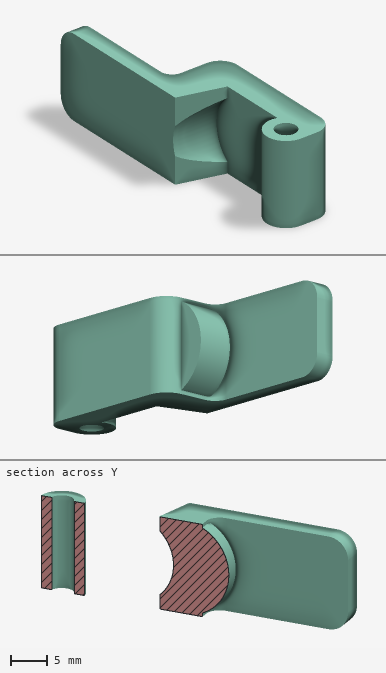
import cadquery as cq

length = 45.25
depth = 12.4
height = 13.8

paddle_thickness = 2.9
arm_thickness = 4.8
step_x = 20.65
slope_front_x = 25.55
slope_rear_x = 27.55
arm_face_y = depth - arm_thickness
corner_radius = 3.0
step_fillet = 2.0

barrel_radius = 3.35
pin_radius = 1.7
barrel_x = length - barrel_radius
barrel_y = 6.6

boss_left_x = 16.6
boss_radius = 7.0
boss_front_y = 4.0
boss_rear_y = depth - corner_radius

relief_left_x = 25.1
relief_radius = 6.45


def disc(left_x, radius, front_y, rear_y):
    """Cylinder along Y, centred at mid height."""
    return (
        cq.Workplane("XZ", origin=(left_x + radius, front_y, height / 2))
        .circle(radius)
        .extrude(front_y - rear_y)
    )


def lever():
    """Stepped plate with its rear corners and paddle end rounded."""
    body = (
        cq.Workplane("XY")
        .moveTo(0, 0)
        .lineTo(slope_front_x, 0)
        .lineTo(slope_rear_x, arm_face_y)
        .lineTo(barrel_x, arm_face_y)
        .lineTo(barrel_x, barrel_y)
        .lineTo(length, barrel_y)
        .lineTo(length, depth)
        .lineTo(step_x, depth)
        .lineTo(step_x, paddle_thickness)
        .lineTo(0, paddle_thickness)
        .close()
        .extrude(height)
    )
    body = body.edges("|Z and >Y").fillet(corner_radius)
    step_corner = cq.selectors.NearestToPointSelector((step_x, paddle_thickness, height / 2))
    body = body.edges(step_corner).fillet(step_fillet)
    return body.edges("|Y and <X").fillet(corner_radius)


def barrel():
    return cq.Workplane("XY").center(barrel_x, barrel_y).circle(barrel_radius).extrude(height)


def boss():
    """Part of the disc that lies behind the sloped wall."""
    full_disc = disc(boss_left_x, boss_radius, boss_front_y, boss_rear_y)
    end_x = (step_x + slope_front_x) / 2
    trim = cq.Workplane("XY").box(end_x, depth, height, centered=False)
    return full_disc.intersect(trim)


relief = disc(relief_left_x, relief_radius, 0, arm_face_y)
pin_hole = cq.Workplane("XY").center(barrel_x, barrel_y).circle(pin_radius).extrude(height)

result = lever().union(barrel()).union(boss()).cut(relief).cut(pin_hole)